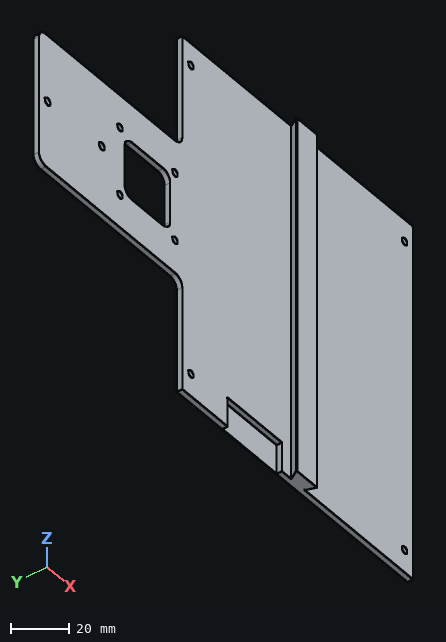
import cadquery as cq

total_length = 207.3
body_height = 160.0
body_length = 127.9
tab_height = 60.1
plate_thickness = 2.5
outline_radius = 4.0
body_left = total_length - body_length
half_height = body_height / 2

hole_diameter = 3.1
small_hole_diameter = 3.0
edge_hole_inset = 4.8
body_hole_end_inset = 10.2
tab_hole_spacing = 30.0

window_center_x = 60.1
window_width = 25.0
window_height = 25.7
window_radius = 4.0
window_hole_spacing = 30.5

recess_left = 104.5
recess_width = 30.0
recess_height = 13.0
recess_depth = 2.3

rail_face_left = 137.6
rail_face_width = 11.2
rail_left_undercut = 2.0
rail_right_undercut = 1.7
rail_depth = 4.1
rail_left_chamfer = 0.5


def front_plane():
    """Front face plane (y = 0) facing -Y, with local x along X and local y along Z."""
    return cq.Workplane("XZ")


def make_plate():
    """Plate from y = 0 (front face) to y = plate_thickness."""
    body = (
        front_plane()
        .center(body_left + body_length / 2, 0)
        .rect(body_length, body_height)
        .extrude(-plate_thickness)
    )
    tab = (
        front_plane()
        .center(total_length / 2, 0)
        .rect(total_length, tab_height)
        .extrude(-plate_thickness)
    )
    plate = body.union(tab)
    tab_corners = cq.selectors.BoxSelector(
        (-2, -2, -tab_height), (body_left + 2, plate_thickness + 2, tab_height)
    )
    return plate.edges("|Y").edges(tab_corners).fillet(outline_radius)


def make_holes(points, diameter):
    return front_plane().pushPoints(points).circle(diameter / 2).extrude(-plate_thickness)


def make_window():
    return (
        front_plane()
        .center(window_center_x, 0)
        .rect(window_width, window_height)
        .extrude(-plate_thickness)
        .edges("|Y")
        .fillet(window_radius)
    )


def make_recess():
    return cq.Workplane("XY").box(
        recess_width, recess_depth, recess_height, centered=False
    ).translate((recess_left, 0, -half_height))


def make_rail():
    """Dovetail section, widest near its outer face, with its -X outer edge chamfered."""
    face_right = rail_face_left + rail_face_width
    return (
        cq.Workplane("XY", origin=(0, 0, -half_height))
        .moveTo(rail_face_left + rail_left_undercut, 0)
        .lineTo(rail_face_left, rail_left_chamfer - rail_depth)
        .lineTo(rail_face_left + rail_left_chamfer, -rail_depth)
        .lineTo(face_right, -rail_depth)
        .lineTo(face_right - rail_right_undercut, 0)
        .close()
        .extrude(body_height)
    )


body_hole_z = half_height - body_hole_end_inset
body_hole_points = [
    (x, z)
    for x in (body_left + edge_hole_inset, total_length - edge_hole_inset)
    for z in (-body_hole_z, body_hole_z)
]
tab_hole_points = [(edge_hole_inset + i * tab_hole_spacing, 0) for i in range(2)]
window_hole_offset = window_hole_spacing / 2
window_hole_points = [
    (window_center_x + side * window_hole_offset, end * window_hole_offset)
    for side in (-1, 1)
    for end in (-1, 1)
]

result = (
    make_plate()
    .cut(make_holes(body_hole_points, small_hole_diameter))
    .cut(make_holes(tab_hole_points, hole_diameter))
    .cut(make_holes(window_hole_points, small_hole_diameter))
    .cut(make_window())
    .cut(make_recess())
    .union(make_rail())
)